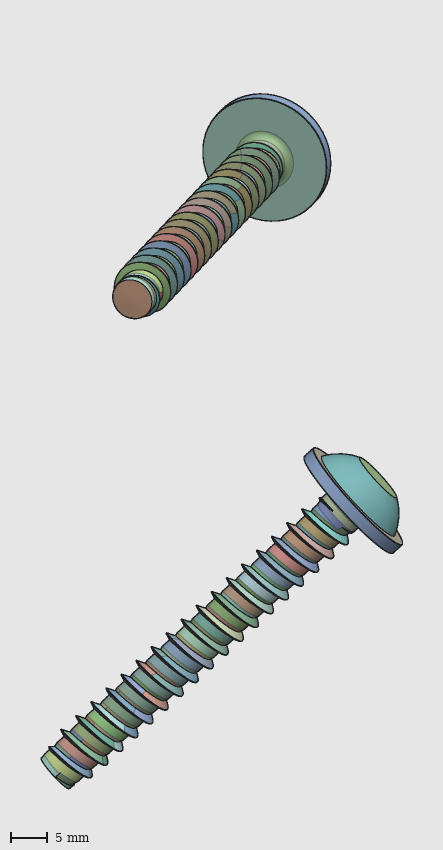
import cadquery as cq
import math

total_length = 60.6

flange_diameter = 18.0
flange_thickness = 1.8
flange_edge_chamfer = 0.05
dome_height = 3.75
dome_base_radius = 7.4
dome_flat_radius = 3.75

neck_radius = 3.2
neck_length = 2.0
neck_fillet = 0.95
core_diameter = 5.9
core_taper_length = 1.0
tip_radius = 2.85
tip_taper_length = 0.9
tip_cone_height = 0.1

thread_diameter = 7.8
thread_length = 53.8
thread_turns = 19.1
thread_start_y = 0.65
thread_start_angle = 270.0
crest_width = 0.1
tip_flank_offset = -0.335
head_flank_offset = 0.6
root_embed = 0.3
fade_embed = 0.1
fade_turns = 1.15
samples_per_turn = 16

groove_far_offset = 1.15
groove_depth = 0.15
groove_start_turn = -0.25
groove_end_turn = thread_turns - 1
cutter_clearance = 0.2

flange_radius = flange_diameter / 2
core_radius = core_diameter / 2
thread_radius = thread_diameter / 2
root_radius = core_radius - root_embed
faded_crest_radius = core_radius - fade_embed
thread_pitch = thread_length / thread_turns

dome_base_y = total_length - dome_height
underside_y = dome_base_y - flange_thickness
neck_end_y = underside_y - neck_length
core_end_y = neck_end_y - core_taper_length


def make_body():
    """Head, neck and core revolved about the Y axis; the dome is part of a sphere centred on it."""
    centre_drop = (dome_base_radius**2 - dome_flat_radius**2 - dome_height**2) / (2 * dome_height)
    sphere_radius = math.hypot(dome_base_radius, centre_drop)
    mid_height = dome_height / 2
    mid_radius = math.sqrt(sphere_radius**2 - (centre_drop + mid_height) ** 2)

    fillet_diagonal = neck_fillet * (1 - math.sqrt(0.5))
    profile = (
        cq.Workplane("XY")
        .moveTo(0, 0)
        .lineTo(tip_radius, tip_cone_height)
        .lineTo(core_radius, tip_taper_length)
        .lineTo(core_radius, core_end_y)
        .lineTo(neck_radius, neck_end_y)
        .lineTo(neck_radius, underside_y - neck_fillet)
        .threePointArc(
            (neck_radius + fillet_diagonal, underside_y - fillet_diagonal),
            (neck_radius + neck_fillet, underside_y),
        )
        .lineTo(flange_radius - flange_edge_chamfer, underside_y)
        .lineTo(flange_radius, underside_y + flange_edge_chamfer)
        .lineTo(flange_radius, dome_base_y - flange_edge_chamfer)
        .lineTo(flange_radius - flange_edge_chamfer, dome_base_y)
        .lineTo(dome_base_radius, dome_base_y)
        .threePointArc((mid_radius, dome_base_y + mid_height), (dome_flat_radius, total_length))
        .lineTo(0, total_length)
        .close()
    )
    return profile.revolve(360, (0, 0, 0), (0, 1, 0)).val()


def crest_radius(turn):
    """Crest radius after a number of turns, rising from and sinking into the core at the ends."""
    distance_from_end = min(turn, thread_turns - turn)
    fade = min(1.0, distance_from_end / fade_turns)
    return faded_crest_radius + fade * (thread_radius - faded_crest_radius)


def constant_radius(radius):
    """Radius law that keeps one value over every turn."""
    return lambda turn: radius


def helix_edge(radius_at, offset, first_turn, last_turn):
    """Helical edge with a radius law, shifted along Y from the middle of the crest."""
    count = round((last_turn - first_turn) * samples_per_turn)
    points = []
    for i in range(count + 1):
        turn = first_turn + (last_turn - first_turn) * i / count
        angle = math.radians(thread_start_angle) + 2 * math.pi * turn
        radius = radius_at(turn)
        height = thread_start_y + offset + thread_pitch * turn
        points.append(cq.Vector(radius * math.sin(angle), height, radius * math.cos(angle)))
    return cq.Edge.makeSpline(points)


def helical_segment(corners, first_turn, last_turn):
    """Solid whose cross-section corners, each a radius law and a Y offset, follow the helix."""
    edges = [helix_edge(radius_at, offset, first_turn, last_turn) for radius_at, offset in corners]
    sides = [cq.Face.makeRuledSurface(edges[i - 1], edges[i]) for i in range(len(edges))]
    caps = []
    for end_point in (cq.Edge.startPoint, cq.Edge.endPoint):
        outline = cq.Wire.makePolygon([end_point(edge) for edge in edges], close=True)
        caps.append(cq.Face.makeFromWires(outline))
    return cq.Solid.makeSolid(cq.Shell.makeShell(sides + caps))


def helical_segments(corners, first_turn, last_turn):
    """Helical solid split end to end into equal pieces of at most one turn."""
    count = math.ceil(last_turn - first_turn)
    step = (last_turn - first_turn) / count
    return [
        helical_segment(corners, first_turn + i * step, first_turn + (i + 1) * step)
        for i in range(count)
    ]


def make_thread():
    """Thread with unequal flanks, each carried on in a straight line to the root inside the core."""
    half_crest = crest_width / 2
    root_extension = (thread_radius - root_radius) / (thread_radius - core_radius)
    tip_root_offset = -half_crest + (tip_flank_offset + half_crest) * root_extension
    head_root_offset = half_crest + (head_flank_offset - half_crest) * root_extension
    root = constant_radius(root_radius)
    corners = [
        (root, tip_root_offset),
        (crest_radius, -half_crest),
        (crest_radius, half_crest),
        (root, head_root_offset),
    ]
    return helical_segments(corners, 0, thread_turns)


def make_groove():
    """Cutter with a sloping floor, reaching under the thread so that the thread closes its deep side."""
    outer_radius = core_radius + cutter_clearance
    floor_radius = core_radius - groove_depth
    floor_slope = (groove_far_offset - head_flank_offset) / groove_depth
    near_offset = head_flank_offset / 2
    corners = [
        (constant_radius(outer_radius), groove_far_offset + cutter_clearance * floor_slope),
        (constant_radius(floor_radius), head_flank_offset),
        (constant_radius(floor_radius), near_offset),
        (constant_radius(outer_radius), near_offset),
    ]
    return helical_segments(corners, groove_start_turn, groove_end_turn)


screw = make_body().cut(*make_groove()).fuse(*make_thread())
result = cq.Workplane(screw.Solids()[0])